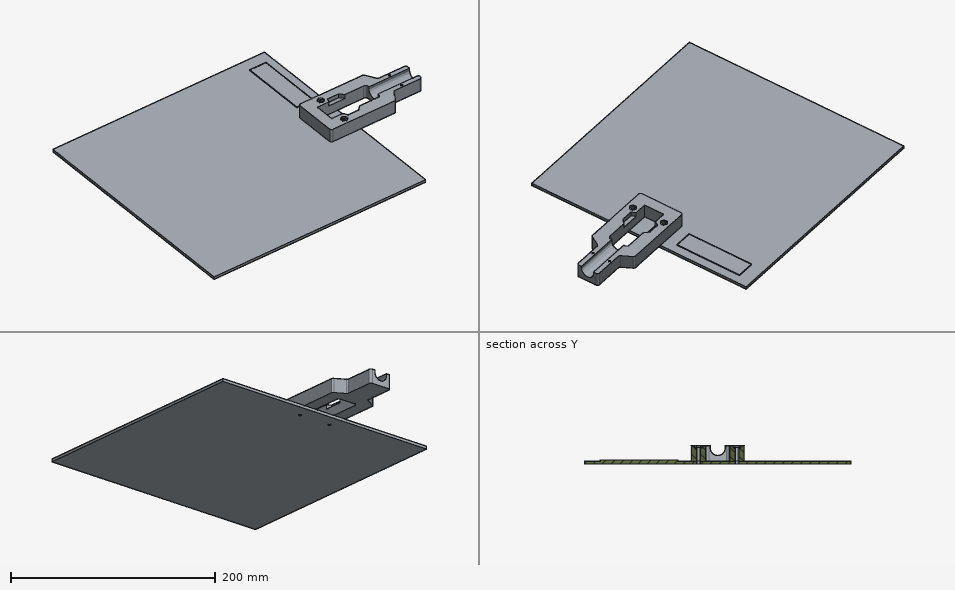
import cadquery as cq
import math

overall_length = 345.5

plate_side = 260.5
plate_thickness = 3.0

pad_length = 76.0
pad_width = 20.0
pad_height = 1.0
pad_left_margin = 15.2
pad_back_margin = 9.5

holder_height = 15.2
holder_back = overall_length - plate_side
holder_front = -37.3
frame_width = 52.0
neck_width = 25.5
shoulder_front = 42.5
shoulder_back = 50.0
corner_radius = 2.5

window_width = 23.0
window_front = -25.2
window_back = 35.0
window_corner_radius = 3.0

channel_radius = 7.3
channel_axis_depth = 2.5

recess_outer_width = 32.5
recess_outer_front = -9.0
recess_outer_back = 4.0
recess_inner_front = -11.0
recess_inner_back = 9.0
recess_depth = 5.0

screw_spacing = 37.5
screw_y = -15.5
screw_hole_diameter = 3.18
head_pocket_flats = 6.5
head_pocket_depth = 2.0

pin_hole_spacing = 20.0
pin_hole_y = 62.0
pin_hole_diameter = 2.0
pin_hole_depth = 7.0


def mirrored_places(spacing, y):
    return [(side * spacing / 2, y) for side in (-1, 1)]


def make_holes(places, diameter, top_z, depth):
    top = cq.Workplane("XY", origin=(0, 0, top_z))
    return top.pushPoints(places).circle(diameter / 2).extrude(-depth)


def make_plate():
    sheet = cq.Workplane("XY").box(
        plate_side, plate_side, plate_thickness, centered=(True, True, False)
    ).translate((0, -plate_side / 2, -plate_thickness))
    pad = cq.Workplane("XY").box(pad_length, pad_width, pad_height, centered=False).translate(
        (-plate_side / 2 + pad_left_margin, -pad_back_margin - pad_width, 0)
    )
    screw_places = mirrored_places(screw_spacing, screw_y)
    return sheet.union(pad).cut(make_holes(screw_places, screw_hole_diameter, 0, plate_thickness))


def make_holder_blank():
    right_side = [
        (frame_width / 2, holder_front),
        (frame_width / 2, shoulder_front),
        (neck_width / 2, shoulder_back),
        (neck_width / 2, holder_back),
    ]
    left_side = [(-x, y) for x, y in reversed(right_side)]
    blank = cq.Workplane("XY").polyline(right_side + left_side).close().extrude(holder_height)
    return blank.edges("|Z").fillet(corner_radius)


def make_window():
    window = cq.Workplane("XY").box(
        window_width, window_back - window_front, holder_height, centered=(True, False, False)
    ).translate((0, window_front, 0))
    return window.edges("|Z and >Y").fillet(window_corner_radius)


def make_channel():
    length = holder_back - (window_front + window_back) / 2
    axis_z = holder_height - channel_axis_depth
    end_plane = cq.Workplane("XZ", origin=(0, holder_back, axis_z))
    return (
        end_plane.moveTo(-channel_radius, channel_axis_depth)
        .lineTo(-channel_radius, 0)
        .threePointArc((0, -channel_radius), (channel_radius, 0))
        .lineTo(channel_radius, channel_axis_depth)
        .close()
        .extrude(length)
    )


def make_side_recesses():
    outer_x = recess_outer_width / 2
    inner_x = window_width / 2
    right_side = [
        (inner_x, recess_inner_front),
        (outer_x, recess_outer_front),
        (outer_x, recess_outer_back),
        (inner_x, recess_inner_back),
    ]
    left_side = [(-x, y) for x, y in reversed(right_side)]
    top = cq.Workplane("XY", origin=(0, 0, holder_height))
    return top.polyline(right_side + left_side).close().extrude(-recess_depth)


def make_head_pockets(places):
    across_corners = head_pocket_flats / math.cos(math.radians(30))
    top = cq.Workplane("XY", origin=(0, 0, holder_height))
    return top.pushPoints(places).polygon(6, across_corners).extrude(-head_pocket_depth)


def make_holder():
    screw_places = mirrored_places(screw_spacing, screw_y)
    pin_places = mirrored_places(pin_hole_spacing, pin_hole_y)
    cuts = [
        make_window(),
        make_channel(),
        make_side_recesses(),
        make_holes(screw_places, screw_hole_diameter, holder_height, holder_height),
        make_head_pockets(screw_places),
        make_holes(pin_places, pin_hole_diameter, holder_height, pin_hole_depth),
    ]
    holder = make_holder_blank()
    for cut in cuts:
        holder = holder.cut(cut)
    return holder


plate = make_plate()
holder = make_holder()
result = cq.Compound.makeCompound([plate.val(), holder.val()])